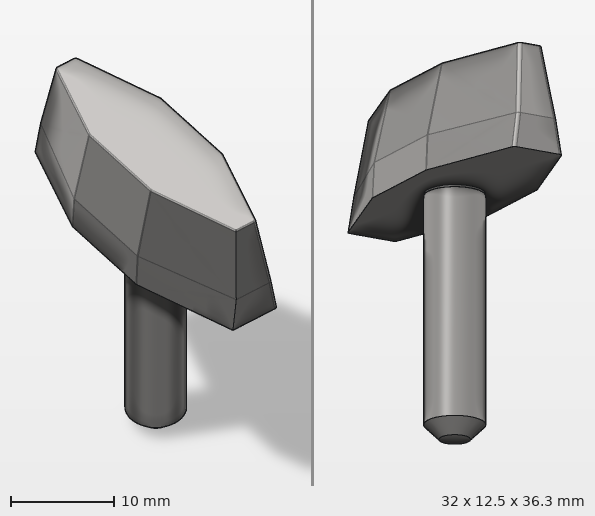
import cadquery as cq

total_height = 36.3
head_height = 11.3
band_height = 3.63
stud_length = total_height - head_height

base_section = (16.0, 6.25, 5.15, 2.7)
shoulder_section = (15.83, 6.05, 5.12, 2.15)
top_section = (14.55, 4.35, 4.97, 1.25)
corner_radius = 0.4
top_edge_radius = 0.15

stud_diameter = 6.03
neck_diameter = 6.0
neck_length = 0.2
tip_chamfer = 1.5


def section_wire(section, z):
    """Closed octagon at height z, rounded at every corner but the sharp one at +X, -Y."""
    half_length, half_width, side_flat, end_flat = section
    outline = cq.Sketch().polygon([
        (half_length, -end_flat),
        (half_length, end_flat),
        (side_flat, half_width),
        (-side_flat, half_width),
        (-half_length, end_flat),
        (-half_length, -end_flat),
        (-side_flat, -half_width),
        (side_flat, -half_width),
        (half_length, -end_flat),
    ]).vertices("not >(3, -1, 0)").fillet(corner_radius)
    face = outline.reset().faces().val()
    return face.outerWire().translate(cq.Vector(0, 0, z))


def make_head():
    """Grip with a slightly tapered band below a steeper upper part."""
    base = section_wire(base_section, 0)
    shoulder = section_wire(shoulder_section, band_height)
    top = section_wire(top_section, head_height)
    band = cq.Solid.makeLoft([base, shoulder], True)
    upper = cq.Solid.makeLoft([shoulder, top], True)
    upper = cq.Workplane(upper).faces(">Z").edges().fillet(top_edge_radius)
    return cq.Workplane(band).union(upper)


def make_stud():
    """Round stud hanging from the underside of the head."""
    neck = cq.Workplane("XY").circle(neck_diameter / 2).extrude(-neck_length)
    shank = (
        cq.Workplane("XY", origin=(0, 0, -neck_length))
        .circle(stud_diameter / 2)
        .extrude(neck_length - stud_length)
        .faces("<Z")
        .chamfer(tip_chamfer)
    )
    return neck.union(shank)


result = make_head().union(make_stud())